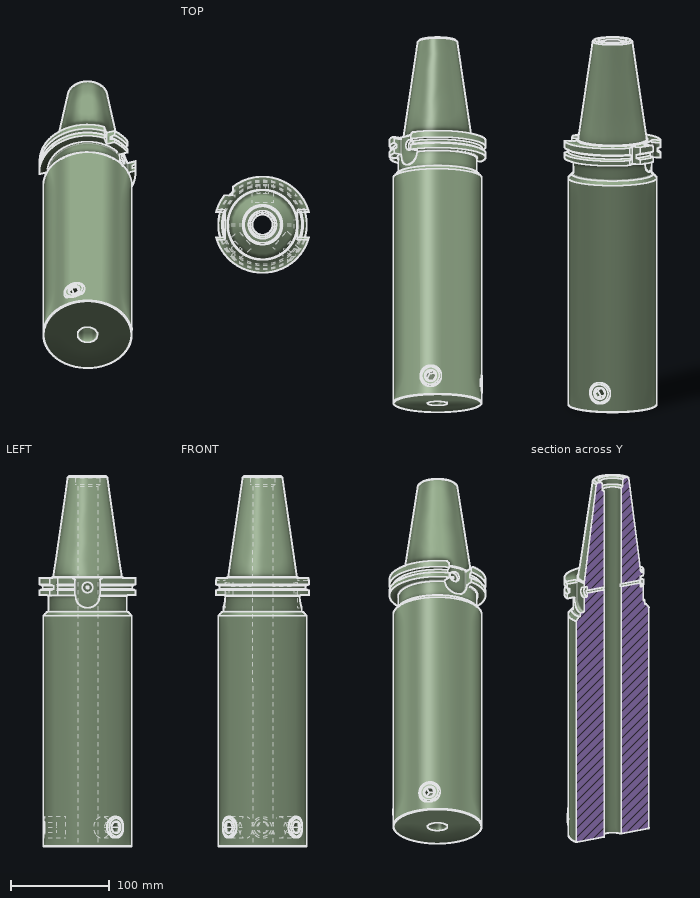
import cadquery as cq
import math

TOTAL_LENGTH = 374.5
GAUGE_Z = TOTAL_LENGTH - 102.0

TAPER_BASE_RADIUS = 35.0
TAPER_SLOPE = 7.0 / 48.0
TAPER_TIP_RADIUS = TAPER_BASE_RADIUS - TAPER_SLOPE * (TOTAL_LENGTH - GAUGE_Z)
TIP_CHAMFER = 1.5
COLLAR_RADIUS = 35.5

FLANGE_RADIUS = 48.7
FLANGE_TOP_Z = 271.5
FLANGE_BOTTOM_Z = 254.0
GROOVE_Z = 262.0
GROOVE_FLOOR_RADIUS = 45.5
GROOVE_FLOOR_HALF_WIDTH = 1.5
GROOVE_FLANK_ANGLE = 25.0
GROOVE_HALF_WIDTH = GROOVE_FLOOR_HALF_WIDTH + (
    (FLANGE_RADIUS - GROOVE_FLOOR_RADIUS) * math.tan(math.radians(GROOVE_FLANK_ANGLE))
)

NECK_RADIUS = 39.7
NECK_FILLET = 1.0
SHOULDER_TOP_Z = 237.0
SHOULDER_TOP_RADIUS = 41.2
SHOULDER_BOTTOM_Z = 233.0
BODY_RADIUS = 45.0
BOTTOM_CHAMFER = 0.7

BORE_RADIUS = 10.0
PILOT_RADIUS = 12.5
PILOT_DEPTH = 8.2
PILOT_MOUTH_RADIUS = 14.2

SLOT_HALF_WIDTH = 12.7
SLOT_CHAMFER = 2.2
SLOT_FILLET = 0.7
LEFT_SLOT_FLOOR = 38.0
RIGHT_SLOT_FLOOR = 35.2

PORT_RADIUS = 5.2
PORT_DEPTH = 3.7
JET_RADIUS = 1.0

NOTCH_X = -30.0
NOTCH_Y = 30.0

SCREW_ANGLES = (90.0, 220.0, 320.0)
SCREW_Z = 19.5
SCREW_RADIUS = 11.0
SCREW_LENGTH = 22.5
SCREW_CHAMFER = 2.0
SOCKET_WIDTH = 9.7
SOCKET_TURN = 30.0
SOCKET_DEPTH = 13.0
SOCKET_MOUTH_RADIUS = 6.0
SOCKET_MOUTH_DEPTH = 3.0
SOCKET_MOUTH_ANGLE = 45.0


def revolved(points):
    """Solid of revolution about Z from (radius, height) points."""
    return cq.Workplane("XZ").polyline(points).close().revolve(360, (0, 0, 0), (0, 1, 0))


def holder_blank():
    """Taper, collar, grooved flange, filleted neck and body as one turned solid."""
    profile = (
        cq.Workplane("XZ")
        .lineTo(BODY_RADIUS - BOTTOM_CHAMFER, 0)
        .lineTo(BODY_RADIUS, BOTTOM_CHAMFER)
        .lineTo(BODY_RADIUS, SHOULDER_BOTTOM_Z)
        .lineTo(SHOULDER_TOP_RADIUS, SHOULDER_TOP_Z)
        .lineTo(NECK_RADIUS + NECK_FILLET, SHOULDER_TOP_Z)
        .tangentArcPoint((NECK_RADIUS, SHOULDER_TOP_Z + NECK_FILLET), relative=False)
        .lineTo(NECK_RADIUS, FLANGE_BOTTOM_Z - NECK_FILLET)
        .tangentArcPoint((NECK_RADIUS + NECK_FILLET, FLANGE_BOTTOM_Z), relative=False)
        .lineTo(FLANGE_RADIUS, FLANGE_BOTTOM_Z)
        .lineTo(FLANGE_RADIUS, GROOVE_Z - GROOVE_HALF_WIDTH)
        .lineTo(GROOVE_FLOOR_RADIUS, GROOVE_Z - GROOVE_FLOOR_HALF_WIDTH)
        .lineTo(GROOVE_FLOOR_RADIUS, GROOVE_Z + GROOVE_FLOOR_HALF_WIDTH)
        .lineTo(FLANGE_RADIUS, GROOVE_Z + GROOVE_HALF_WIDTH)
        .lineTo(FLANGE_RADIUS, FLANGE_TOP_Z)
        .lineTo(COLLAR_RADIUS, FLANGE_TOP_Z)
        .lineTo(COLLAR_RADIUS, GAUGE_Z)
        .lineTo(TAPER_BASE_RADIUS, GAUGE_Z)
        .lineTo(TAPER_TIP_RADIUS + TAPER_SLOPE * TIP_CHAMFER, TOTAL_LENGTH - TIP_CHAMFER)
        .lineTo(TAPER_TIP_RADIUS - TIP_CHAMFER, TOTAL_LENGTH)
        .lineTo(0, TOTAL_LENGTH)
        .close()
    )
    return profile.revolve(360, (0, 0, 0), (0, 1, 0))


def stepped_bore():
    """Through bore with a chamfered pilot at the tip."""
    pilot_bottom_z = TOTAL_LENGTH - PILOT_DEPTH
    return revolved([
        (0, 0),
        (BORE_RADIUS, 0),
        (BORE_RADIUS, pilot_bottom_z - (PILOT_RADIUS - BORE_RADIUS)),
        (PILOT_RADIUS, pilot_bottom_z),
        (PILOT_RADIUS, TOTAL_LENGTH - (PILOT_MOUTH_RADIUS - PILOT_RADIUS)),
        (PILOT_MOUTH_RADIUS, TOTAL_LENGTH),
        (0, TOTAL_LENGTH),
    ])


def drive_slot(floor, side):
    """U-shaped slot cutter with chamfered top edges, outward from its floor; side is -1 or +1."""
    profile = (
        cq.Workplane("YZ", origin=(side * floor, 0, 0))
        .moveTo(-SLOT_HALF_WIDTH - SLOT_CHAMFER, FLANGE_TOP_Z)
        .lineTo(-SLOT_HALF_WIDTH, FLANGE_TOP_Z - SLOT_CHAMFER)
        .lineTo(-SLOT_HALF_WIDTH, FLANGE_BOTTOM_Z)
        .threePointArc((0, FLANGE_BOTTOM_Z - SLOT_HALF_WIDTH), (SLOT_HALF_WIDTH, FLANGE_BOTTOM_Z))
        .lineTo(SLOT_HALF_WIDTH, FLANGE_TOP_Z - SLOT_CHAMFER)
        .lineTo(SLOT_HALF_WIDTH + SLOT_CHAMFER, FLANGE_TOP_Z)
        .close()
    )
    cutter = profile.extrude(side * FLANGE_RADIUS)
    toward_axis = cq.selectors.DirectionMinMaxSelector(cq.Vector(-side, 0, 0))
    return cutter.faces(toward_axis).edges("not(>Z)").fillet(SLOT_FILLET)


def coolant_port(floor, side):
    """Flat-bottomed port in a slot floor with a small jet hole leading to the bore."""
    start = cq.Workplane("YZ", origin=(side * floor, 0, GROOVE_Z))
    port = start.circle(PORT_RADIUS).extrude(-side * PORT_DEPTH)
    jet = start.circle(JET_RADIUS).extrude(-side * floor)
    return port.union(jet)


def orientation_notch():
    """Square corner cut through the height of the flange rim."""
    height = FLANGE_TOP_Z - FLANGE_BOTTOM_Z
    return cq.Workplane("XY").box(FLANGE_RADIUS, FLANGE_RADIUS, height, centered=False).translate(
        (NOTCH_X - FLANGE_RADIUS, NOTCH_Y, FLANGE_BOTTOM_Z)
    )


def placed_at_screw(shape, angle):
    """Turn a shape modelled along +X to one screw's angle and lift it to the screw height."""
    return shape.rotate((0, 0, 0), (0, 0, 1), angle).translate((0, 0, SCREW_Z))


def screw_hole(angle):
    """Hole filled by one screw, open to the outside."""
    start = cq.Workplane("YZ", origin=(BODY_RADIUS - SCREW_LENGTH, 0, 0))
    return placed_at_screw(start.circle(SCREW_RADIUS).extrude(2 * SCREW_LENGTH), angle)


def clamping_screw(angle):
    """Set screw with a chamfered outer end and a hexagon socket whose flats lie level."""
    screw = (
        cq.Workplane("YZ", origin=(BODY_RADIUS - SCREW_LENGTH, 0, 0))
        .circle(SCREW_RADIUS)
        .extrude(SCREW_LENGTH)
        .faces(">X")
        .chamfer(SCREW_CHAMFER)
    )
    outer_end = cq.Workplane("YZ", origin=(BODY_RADIUS, 0, 0))
    hexagon = outer_end.transformed(rotate=(0, 0, SOCKET_TURN))
    socket = hexagon.polygon(6, SOCKET_WIDTH, circumscribed=True).extrude(-SOCKET_DEPTH)
    mouth = outer_end.circle(SOCKET_MOUTH_RADIUS).extrude(-SOCKET_MOUTH_DEPTH, taper=SOCKET_MOUTH_ANGLE)
    return placed_at_screw(screw.cut(socket).cut(mouth), angle)


def holder():
    """Turned blank with the bore, drive slots, ports, notch and screw holes cut away."""
    body = holder_blank().cut(stepped_bore()).cut(orientation_notch())
    for floor, side in ((LEFT_SLOT_FLOOR, -1), (RIGHT_SLOT_FLOOR, 1)):
        body = body.cut(drive_slot(floor, side)).cut(coolant_port(floor, side))
    for angle in SCREW_ANGLES:
        body = body.cut(screw_hole(angle))
    return body


tool_holder = holder()
screws = [clamping_screw(angle) for angle in SCREW_ANGLES]

result = cq.Compound.makeCompound([tool_holder.val(), *[screw.val() for screw in screws]])